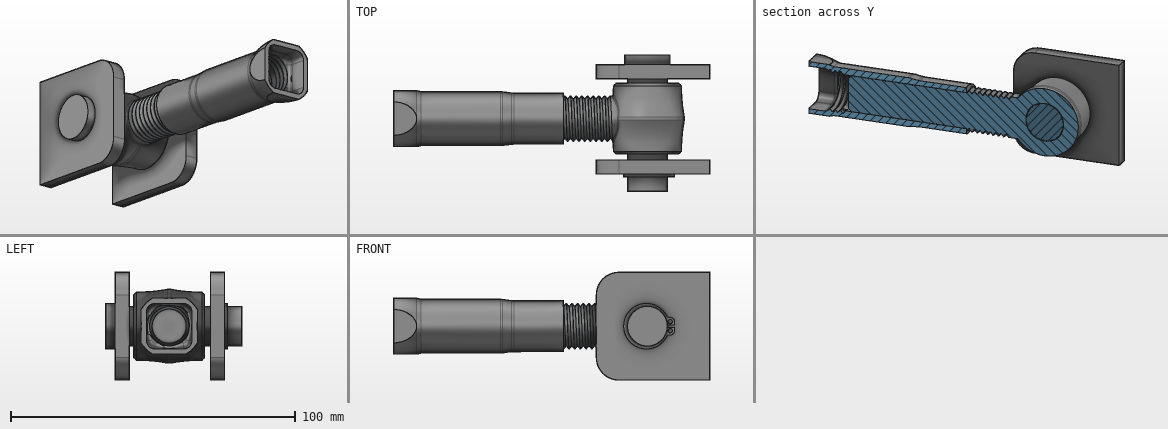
import cadquery as cq
import math


pin_diameter = 14.0
pin_length = 48.0
pin_head_diameter = 16.0
pin_head_end = 22.4
pin_tip = pin_head_end - pin_length

plate_length = 40.0
plate_height = 38.0
plate_thickness = 5.0
plate_corner_radius = 8.0
plate_rear = 22.0
plate_front = plate_rear - plate_length
plate_hole_diameter = 14.1
head_plate_outer = 19.0
clip_plate_outer = -19.5
head_plate_center = head_plate_outer - plate_thickness / 2
clip_plate_center = clip_plate_outer + plate_thickness / 2

clip_thickness = 1.0
clip_outer_radius = 8.0
clip_offset = -0.35
clip_gap = 0.9
lug_hole_diameter = 1.5
lug_radius = 1.5
lug_x = 8.05
lug_z = 1.6
lug_blend_radius = 0.8

eye_width = 25.0
eye_center_radius = 13.0
eye_end_radius = 12.0
eye_band_width = 1.1
eye_edge_radius = 1.0
eye_hole_diameter = 14.08
neck_fillet_radius = 0.5
thread_diameter = 16.0
thread_pitch = 2.0
thread_root_diameter = 13.84
thread_margin = 0.03
groove_end = -12.7
bolt_tip_diameter = 12.0

overall_length = 111.31
sleeve_start = plate_rear - overall_length
sleeve_length = 59.75
sleeve_end = sleeve_start + sleeve_length
square_width = 19.75
square_corner_diameter = 23.0
square_length = 8.1
shoulder_length = 1.6
body_diameter = 19.0
body_length = 37.95
taper_length = 4.0
tail_diameter = 18.0
taper_edge_radius = 6.0
pocket_width = 16.0
pocket_depth = 8.0
pocket_corner_radius = 3.0
pocket_floor_radius = 2.0
bolt_tip_depth = 15.0
bolt_tip = sleeve_start + bolt_tip_depth


def y_cylinder(diameter, y_start, y_end):
    """Round bar along Y on the pin axis."""
    bar = cq.Workplane("XZ", origin=(0, y_start, 0)).circle(diameter / 2)
    return bar.extrude(y_start - y_end)


def x_cylinder(diameter, x_start, x_end):
    """Round bar along X on the bolt axis."""
    bar = cq.Workplane("YZ", origin=(x_start, 0, 0)).circle(diameter / 2)
    return bar.extrude(x_end - x_start)


def make_plate(y_center):
    """Hinge plate with two rounded front corners and the pin hole."""
    plate_x = (plate_front + plate_rear) / 2
    plate = (
        cq.Workplane("XY", origin=(plate_x, y_center, 0))
        .box(plate_length, plate_thickness, plate_height)
        .edges("|Y and <X")
        .fillet(plate_corner_radius)
    )
    hole = y_cylinder(plate_hole_diameter, y_center - plate_thickness, y_center + plate_thickness)
    return plate.cut(hole)


def make_pin():
    """Pin whose wider head rests on one plate."""
    head = y_cylinder(pin_head_diameter, head_plate_outer, pin_head_end)
    return y_cylinder(pin_diameter, pin_tip, pin_head_end).union(head)


def make_clip():
    """Eccentric open ring with two pierced lugs beside its gap."""
    face = cq.Workplane("XZ", origin=(0, clip_plate_outer, 0))
    lug_root = lug_x - 2 * lug_radius
    lug_end = lug_x + lug_radius
    lug_top = lug_z + lug_radius
    lug_centers = [(lug_x, lug_z), (lug_x, -lug_z)]

    clip = face.center(clip_offset, 0).circle(clip_outer_radius).extrude(clip_thickness)
    lugs = (
        face.moveTo(lug_root, -lug_top)
        .lineTo(lug_x, -lug_top)
        .radiusArc((lug_end, -lug_z), -lug_radius)
        .lineTo(lug_end, lug_z)
        .radiusArc((lug_x, lug_top), -lug_radius)
        .lineTo(lug_root, lug_top)
        .close()
        .extrude(clip_thickness)
    )
    ring_corners = cq.selectors.BoxSelector(
        (lug_root, clip_plate_outer - clip_thickness, -lug_top - lug_radius),
        (lug_x - lug_radius / 4, clip_plate_outer, lug_top + lug_radius),
    )
    clip = clip.union(lugs).edges("|Y").edges(ring_corners).fillet(lug_blend_radius)

    gap = face.center(lug_x, 0).rect(2 * lug_x, clip_gap).extrude(clip_thickness)
    holes = face.pushPoints(lug_centers).circle(lug_hole_diameter / 2).extrude(clip_thickness)
    bore = face.circle(pin_diameter / 2).extrude(clip_thickness)
    return clip.cut(gap).cut(holes).cut(bore)


def make_eye():
    """Barrel around the pin, flared by concave arcs to a narrow band at its middle."""
    half_width = eye_width / 2
    half_band = eye_band_width / 2
    flare_end = half_width - eye_edge_radius
    flare_middle = (half_band + flare_end) / 2
    flare_middle_radius = eye_end_radius + (eye_center_radius - eye_end_radius) / 4
    profile = (
        cq.Workplane("XY")
        .moveTo(0, -half_width)
        .lineTo(eye_end_radius - eye_edge_radius, -half_width)
        .lineTo(eye_end_radius, -flare_end)
        .threePointArc((flare_middle_radius, -flare_middle), (eye_center_radius, -half_band))
        .lineTo(eye_center_radius, half_band)
        .threePointArc((flare_middle_radius, flare_middle), (eye_end_radius, flare_end))
        .lineTo(eye_end_radius - eye_edge_radius, half_width)
        .lineTo(0, half_width)
        .close()
    )
    return profile.revolve(360, (0, 0, 0), (0, 1, 0))


def make_thread_cutter(tip_radius, mouth_radius, x_start, x_end):
    """Helical V ridge around the bolt axis; its mouth is extended a little past the surface it cuts."""
    outward_sign = math.copysign(1, mouth_radius - tip_radius)
    mouth = mouth_radius + outward_sign * thread_margin
    clear = mouth + outward_sign * thread_margin
    half_width = thread_pitch / 2 - thread_margin
    axis = cq.Vector(1, 0, 0)
    helix = cq.Wire.makeHelix(thread_pitch, x_end - x_start, tip_radius, cq.Vector(x_start, 0, 0), axis)
    start = helix.startPoint()
    outward = cq.Vector(0, start.y, start.z).normalized()
    section_plane = cq.Plane(
        origin=(x_start, 0, 0), xDir=outward.toTuple(), normal=outward.cross(axis).toTuple()
    )
    return (
        cq.Workplane(section_plane)
        .moveTo(tip_radius, 0)
        .lineTo(mouth, half_width)
        .lineTo(clear, half_width)
        .lineTo(clear, -half_width)
        .lineTo(mouth, -half_width)
        .close()
        .sweep(cq.Workplane(helix), isFrenet=True)
    )


def make_eye_bolt():
    """Eye with a filleted neck, a thread and a chamfered plain shank inside the sleeve."""
    rod = x_cylinder(thread_diameter, sleeve_end, 0)
    neck_corner = cq.selectors.BoxSelector(
        (-eye_center_radius, -thread_diameter, -thread_diameter),
        (-eye_center_radius / 2, thread_diameter, thread_diameter),
        boundingbox=False,
    )
    bolt = make_eye().union(rod).edges(neck_corner).fillet(neck_fillet_radius)
    bolt = bolt.cut(y_cylinder(eye_hole_diameter, -eye_width, eye_width))
    groove = make_thread_cutter(
        thread_root_diameter / 2, thread_diameter / 2, sleeve_end - thread_pitch, groove_end
    )
    tip_chamfer = (thread_root_diameter - bolt_tip_diameter) / 2
    shank = x_cylinder(thread_root_diameter, bolt_tip, sleeve_end).faces("<X").chamfer(tip_chamfer)
    return bolt.cut(groove).union(shank)


def make_sleeve():
    """Stepped round sleeve with a bulged square end, a square pocket and a threaded bore."""
    square_end = sleeve_start + square_length
    shoulder_end = square_end + shoulder_length
    body_end = sleeve_start + body_length
    taper_end = body_end + taper_length
    square_drop = (square_corner_diameter - square_width) / 2
    square_bulge_x = sleeve_start + square_length / 2
    square_bulge_radius = square_corner_diameter / 2 - square_drop / 4
    profile = (
        cq.Workplane("XY")
        .moveTo(sleeve_start, 0)
        .lineTo(sleeve_start, square_corner_diameter / 2)
        .threePointArc((square_bulge_x, square_bulge_radius), (square_end, square_width / 2))
        .lineTo(shoulder_end, body_diameter / 2)
        .lineTo(body_end, body_diameter / 2)
        .lineTo(taper_end, tail_diameter / 2)
        .lineTo(sleeve_end, tail_diameter / 2)
        .lineTo(sleeve_end, 0)
        .close()
    )
    outside = profile.revolve(360, (0, 0, 0), (1, 0, 0))
    end_plane = cq.Workplane("YZ", origin=(sleeve_start, 0, 0))
    square = end_plane.rect(square_width, square_width).extrude(sleeve_length)
    outside = outside.intersect(square)
    taper_edges = cq.selectors.BoxSelector(
        (body_end - taper_length / 2, -body_diameter, -body_diameter),
        (taper_end + taper_length / 2, body_diameter, body_diameter),
    )
    outside = outside.edges("%CIRCLE").edges(taper_edges).fillet(taper_edge_radius)
    pocket = (
        cq.Workplane("YZ", origin=(sleeve_start, 0, 0))
        .rect(pocket_width, pocket_width)
        .extrude(pocket_depth)
        .edges("|X")
        .fillet(pocket_corner_radius)
        .faces(">X")
        .edges()
        .fillet(pocket_floor_radius)
    )
    bore = x_cylinder(thread_root_diameter, sleeve_start, sleeve_end)
    groove_start = sleeve_start + pocket_depth - thread_pitch
    groove = make_thread_cutter(
        thread_diameter / 2, thread_root_diameter / 2, groove_start, bolt_tip - thread_pitch
    )
    return outside.cut(pocket).cut(bore).cut(groove)


sleeve = make_sleeve()
eye_bolt = make_eye_bolt()
pin = make_pin()
clip = make_clip()
plates = [make_plate(y) for y in (head_plate_center, clip_plate_center)]

result = cq.Compound.makeCompound(
    [sleeve.val(), eye_bolt.val(), pin.val(), clip.val(), *[plate.val() for plate in plates]]
)